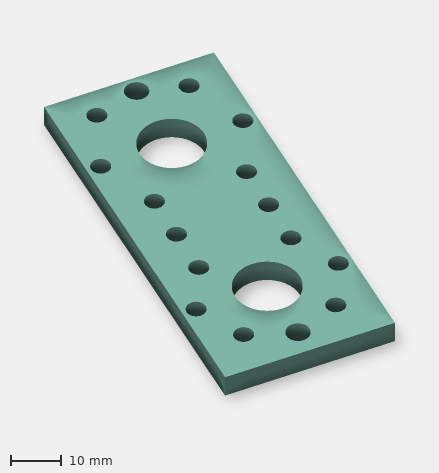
import cadquery as cq

length = 85.0
width = 37.0
thickness = 5.0

bore_diameter = 14.0
bore_x = 22.4

small_diameter = 4.2
outer_row_y = 15.5
inner_row_y = 10.0
left_pitch = 13.5
right_pitch = 10.5
middle_x = 1.45

end_diameter = 5.0
left_end_x = -38.9
right_end_x = 36.9


def mirrored_rows(x_positions, row_y):
    """Points at each x, on both sides of the long centreline."""
    return [(x, side * row_y) for x in x_positions for side in (-1, 1)]


bore_points = [(-bore_x, 0), (bore_x, 0)]
end_points = [(left_end_x, 0), (right_end_x, 0)]
inner_row_x = [
    -bore_x - left_pitch,
    -bore_x + left_pitch,
    middle_x,
    bore_x - right_pitch,
    bore_x + right_pitch,
]
small_points = mirrored_rows([-bore_x, bore_x], outer_row_y) + mirrored_rows(inner_row_x, inner_row_y)

result = cq.Workplane("XY").box(length, width, thickness)
for points, diameter in (
    (bore_points, bore_diameter),
    (end_points, end_diameter),
    (small_points, small_diameter),
):
    result = result.faces(">Z").workplane(origin=(0, 0, 0)).pushPoints(points).hole(diameter)